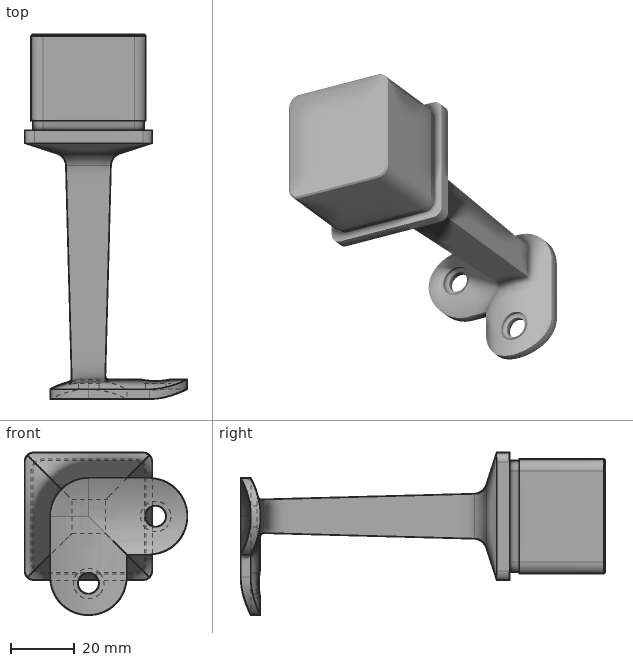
import cadquery as cq
import math

PLUG_WIDTH = 36.0
PLUG_LENGTH = 30.0
PLUG_CORNER_RADIUS = 3.7
PLUG_END_CHAMFER = 0.5
NECK_LENGTH = 3.0
NECK_RELIEF = 0.5

CAP_WIDTH = 40.0
CAP_THICKNESS = 4.0
CAP_CORNER_RADIUS = 3.0
PYRAMID_SLOPE_DEG = 18.0

STEM_ROOT_WIDTH = 14.3
STEM_TIP_WIDTH = 10.5
STEM_FILLET_RADIUS = 4.0

SEAT_RADIUS = 24.0
BACK_RADIUS = 25.0
SADDLE_THICKNESS = 3.0
SADDLE_FILLET_RADIUS = 1.0
SADDLE_WIDTH = 24.0
ARM_REACH = 31.0
SEAT_CROWN_Y = -81.0
HOLE_DIAMETER = 6.5
COUNTERBORE_DIAMETER = 9.5
COUNTERBORE_DEPTH = 1.2
HOLE_OFFSET = 21.0

CLEARANCE = 1.0

PYRAMID_DROP = (CAP_WIDTH - STEM_ROOT_WIDTH) / 2 * math.tan(math.radians(PYRAMID_SLOPE_DEG))
STEM_ROOT_Y = -CAP_THICKNESS - PYRAMID_DROP
SADDLE_BACK_Y = SEAT_CROWN_Y + SADDLE_THICKNESS
STEM_END_Y = SADDLE_BACK_Y - SADDLE_THICKNESS / 2
SEAT_AXIS_Y = SEAT_CROWN_Y - SEAT_RADIUS
BACK_AXIS_Y = SADDLE_BACK_Y - BACK_RADIUS
SADDLE_HALF_WIDTH = SADDLE_WIDTH / 2
ARM_END_CENTER = ARM_REACH - SADDLE_HALF_WIDTH
ROUND_HALF_LENGTH = ARM_REACH + CLEARANCE
BLANK_BACK_Y = SADDLE_BACK_Y + CLEARANCE
BLANK_DEPTH = SEAT_RADIUS


def section_at(y):
    """Workplane across the part at the given y; local x is +X, local y is +Z, normal is -Y."""
    return cq.Workplane("XZ", origin=(0, y, 0))


def square_bar(width, corner_radius, y_near, y_far):
    """Square bar with rounded long edges running from y_far down to y_near."""
    bar = section_at(y_far).rect(width, width).extrude(y_far - y_near)
    return bar.edges("|Y").fillet(corner_radius)


def make_plug():
    """Chamfered block with its narrower neck next to the cap."""
    block = square_bar(PLUG_WIDTH, PLUG_CORNER_RADIUS, NECK_LENGTH, PLUG_LENGTH)
    block = block.faces(">Y").chamfer(PLUG_END_CHAMFER)
    neck_width = PLUG_WIDTH - 2 * NECK_RELIEF
    neck = square_bar(neck_width, PLUG_CORNER_RADIUS - NECK_RELIEF, 0, NECK_LENGTH)
    return block.union(neck)


def make_silhouette_prism():
    """Cap and stem silhouette in XY, filleted at the stem root and extruded along Z."""
    cap_half = CAP_WIDTH / 2
    root_half = STEM_ROOT_WIDTH / 2
    tip_half = STEM_TIP_WIDTH / 2
    left_side = [
        (-cap_half, 0),
        (-cap_half, -CAP_THICKNESS),
        (-root_half, STEM_ROOT_Y),
        (-tip_half, STEM_END_Y),
    ]
    right_side = [(-x, y) for x, y in reversed(left_side)]
    prism = cq.Workplane("XY").polyline(left_side + right_side).close().extrude(cap_half, both=True)
    root_edges = cq.selectors.BoxSelector(
        (-root_half - CLEARANCE, STEM_ROOT_Y - CLEARANCE, -CLEARANCE),
        (root_half + CLEARANCE, STEM_ROOT_Y + CLEARANCE, CLEARANCE),
    )
    return prism.edges("|Z").edges(root_edges).fillet(STEM_FILLET_RADIUS)


def make_cap_and_stem():
    """Square flange, pyramid and stem: the same silhouette seen along Z and along X."""
    prism_z = make_silhouette_prism()
    prism_x = prism_z.rotate((0, 0, 0), (0, 1, 0), 90)
    envelope = square_bar(CAP_WIDTH, CAP_CORNER_RADIUS, STEM_END_Y - CLEARANCE, CLEARANCE)
    return prism_z.intersect(prism_x).intersect(envelope)


def dished(outline, make_round):
    """Give an outline a dished seat and a slightly flatter crowned back."""
    blank = outline.extrude(BLANK_DEPTH)
    back = make_round(BACK_RADIUS, BACK_AXIS_Y)
    seat = make_round(SEAT_RADIUS, SEAT_AXIS_Y)
    return blank.intersect(back).cut(seat)


def round_along_x(radius, axis_y):
    """Cylinder along X with its axis at axis_y."""
    end_plane = cq.Workplane("YZ", origin=(-ROUND_HALF_LENGTH, axis_y, 0))
    return end_plane.circle(radius).extrude(2 * ROUND_HALF_LENGTH)


def round_elbow(radius, axis_y):
    """Sphere that continues the round surface around the corner between the arms."""
    return cq.Workplane("XY", origin=(0, axis_y, 0)).sphere(radius)


def make_screw_hole():
    """Through hole in the X arm with a shallow counterbore in the back."""
    start = section_at(BLANK_BACK_Y).center(HOLE_OFFSET, 0)
    bore = start.circle(HOLE_DIAMETER / 2).extrude(BLANK_DEPTH)
    counterbore = start.circle(COUNTERBORE_DIAMETER / 2).extrude(CLEARANCE + COUNTERBORE_DEPTH)
    return bore.union(counterbore)


def make_arm():
    """Round-ended arm along +X, mitred at 45 degrees against the -Z arm."""
    half = SADDLE_HALF_WIDTH
    outline = (
        section_at(BLANK_BACK_Y)
        .moveTo(0, 0)
        .lineTo(0, half)
        .lineTo(ARM_END_CENTER, half)
        .threePointArc((ARM_REACH, 0), (ARM_END_CENTER, -half))
        .lineTo(half, -half)
        .close()
    )
    return dished(outline, round_along_x).cut(make_screw_hole())


def make_corner():
    """Rounded outer corner joining the two arms."""
    half = SADDLE_HALF_WIDTH
    diagonal = half * math.sqrt(0.5)
    outline = (
        section_at(BLANK_BACK_Y)
        .moveTo(0, 0)
        .lineTo(-half, 0)
        .threePointArc((-diagonal, diagonal), (0, half))
        .close()
    )
    return dished(outline, round_elbow)


def make_saddle():
    """Both arms and the rounded corner between them."""
    arm_x = make_arm()
    arm_z = arm_x.mirror("XY").rotate((0, 0, 0), (0, 1, 0), 90)
    return arm_x.union(arm_z).union(make_corner())


def join_with_fillet(cap_and_stem, saddle):
    """Join the stem to the saddle and round the joint all the way round."""
    joined = cap_and_stem.union(saddle)
    reach = STEM_TIP_WIDTH / 2 + CLEARANCE
    joint_box = cq.selectors.BoxSelector(
        (-reach, STEM_END_Y, -reach),
        (reach, SADDLE_BACK_Y + CLEARANCE, reach),
    )
    return joined.edges(joint_box).fillet(SADDLE_FILLET_RADIUS)


result = join_with_fillet(make_cap_and_stem(), make_saddle()).union(make_plug())